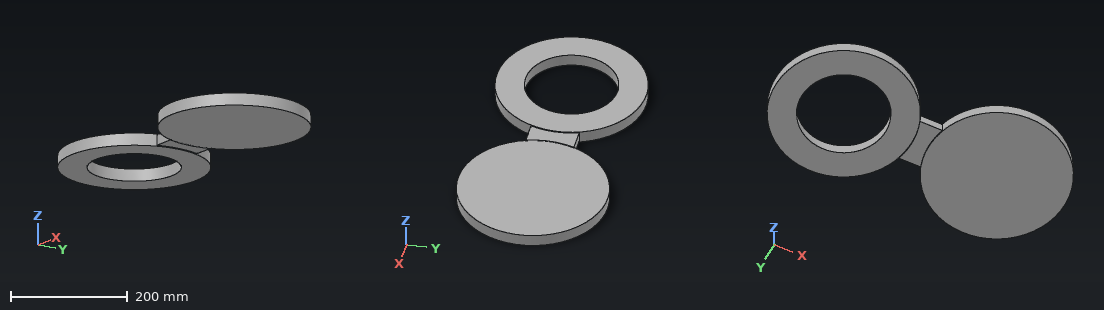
import cadquery as cq

total_length = 556.0
plate_diameter = 263.5
plate_thickness = 22.0

ring_bore_diameter = 162.0
web_width = 85.0
web_thickness = 19.0

plate_offset = (total_length - plate_diameter) / 2


def centred_disc(diameter, x_centre):
    """Full-thickness disc, centred on Z = 0."""
    return (
        cq.Workplane("XY")
        .center(x_centre, 0)
        .circle(diameter / 2)
        .extrude(plate_thickness / 2, both=True)
    )


web = cq.Workplane("XY").box(2 * plate_offset, web_width, web_thickness)

blind_plate = centred_disc(plate_diameter, plate_offset)
ring_plate = centred_disc(plate_diameter, -plate_offset)
ring_bore = centred_disc(ring_bore_diameter, -plate_offset)

result = blind_plate.union(ring_plate).union(web).cut(ring_bore)